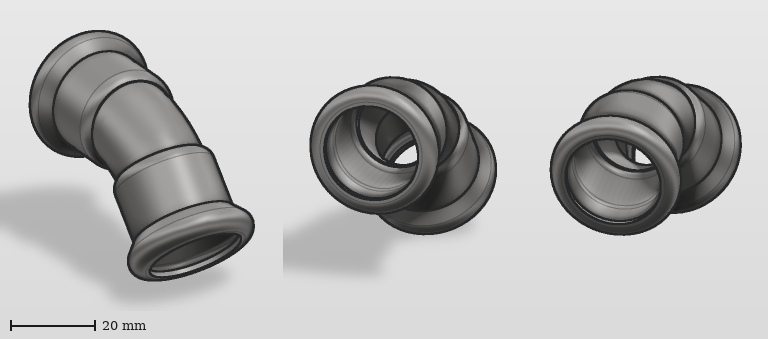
import cadquery as cq
import math

wall = 1.55
socket_bore = 22.2
mouth_bore = 23.2
bead_radius = 3.15
cone_angle = 40.0
shoulder_start = 21.05
shoulder_radius = 3.5
stop_bore = 20.1
pipe_bore = 18.9
bend_start = 19.95
bend_radius = 28.95
bend_angle = 45.0

bore_r = socket_bore / 2
socket_r = bore_r + wall
mouth_r = mouth_bore / 2
stop_r = stop_bore / 2
pipe_bore_r = pipe_bore / 2
pipe_r = pipe_bore_r + wall
cavity_bead_radius = bead_radius - wall
cavity_shoulder_radius = shoulder_radius - wall
shoulder_center_r = socket_r - shoulder_radius
cone = math.radians(cone_angle)


def bead_point(radius, slope):
    """Point on a bead arc where its tangent descends at the given slope."""
    return (bead_radius + radius * math.sin(slope), socket_r + radius * math.cos(slope))


def shoulder_length(radius, end_r):
    """Axial length of a shoulder arc that closes down to the radius end_r."""
    return math.sqrt(radius**2 - (end_r - shoulder_center_r) ** 2)


def revolve_about_x(profile):
    return profile.close().revolve(360, (0, 0, 0), (1, 0, 0))


cone_end = bead_point(bead_radius, cone)
corner_x = cone_end[0] + (cone_end[1] - socket_r) / math.tan(cone)


def corner_arc_point(slope):
    return (corner_x - wall * math.sin(slope), socket_r - wall * math.cos(slope))


def socket_body():
    shoulder_end = shoulder_start + shoulder_length(shoulder_radius, pipe_r)
    profile = (
        cq.Workplane("XZ")
        .lineTo(0, socket_r)
        .threePointArc(bead_point(bead_radius, 0), cone_end)
        .lineTo(corner_x, socket_r)
        .lineTo(shoulder_start, socket_r)
        .tangentArcPoint((shoulder_end, pipe_r), relative=False)
        .lineTo(shoulder_end, 0)
    )
    return revolve_about_x(profile)


def socket_cavity():
    stop_x = shoulder_start + shoulder_length(cavity_shoulder_radius, stop_r)
    profile = (
        cq.Workplane("XZ")
        .lineTo(0, mouth_r)
        .lineTo(wall, mouth_r)
        .lineTo(wall, socket_r)
        .threePointArc(bead_point(cavity_bead_radius, 0), bead_point(cavity_bead_radius, cone))
        .lineTo(*corner_arc_point(cone))
        .threePointArc(corner_arc_point(cone / 2), corner_arc_point(0))
        .lineTo(shoulder_start, bore_r)
        .tangentArcPoint((stop_x, stop_r), relative=False)
        .lineTo(stop_x, 0)
    )
    return revolve_about_x(profile)


def bend(radius):
    """Solid round bend turning from +X toward -Z."""
    return (
        cq.Workplane("YZ", origin=(bend_start, 0, 0))
        .circle(radius)
        .revolve(bend_angle, (0, -bend_radius, 0), (1, -bend_radius, 0))
    )


def at_far_end(near_shape):
    """Mirror a shape of the near socket and swing it to the other end of the bend."""
    pivot = (bend_start, 0, -bend_radius)
    pivot_axis_end = (bend_start, 1, -bend_radius)
    mirrored = near_shape.mirror("YZ", (bend_start, 0, 0))
    return mirrored.rotate(pivot, pivot_axis_end, bend_angle)


body = socket_body()
cavity = socket_cavity()

result = (
    bend(pipe_r)
    .union(body)
    .union(at_far_end(body))
    .cut(cavity)
    .cut(at_far_end(cavity))
    .cut(bend(pipe_bore_r))
)